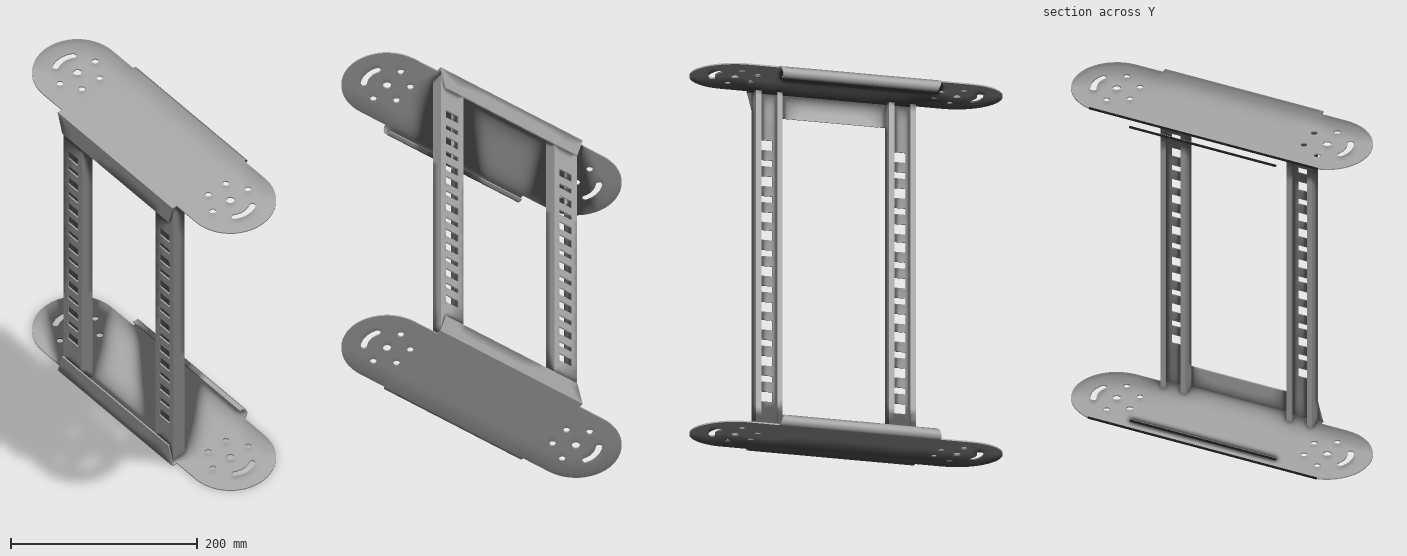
import cadquery as cq
import math

frame_height = 400.0
sheet_thickness = 1.5

end_centre_x = 125.0
plate_half_width = 49.0
fold_projection = 6.0
flange_face_y = -plate_half_width - fold_projection
flange_root_half_length = 94.0
flange_tip_half_length = 87.0
flange_height = 27.0
hook_root_half_length = 91.0
hook_tip_half_length = 87.0
hook_lip_length = 3.0
plate_top_z = frame_height / 2
plate_underside_z = plate_top_z - sheet_thickness

pattern_radius = 25.0
side_hole_angle = 90.0
pattern_half_angle = 30.0
pivot_hole_diameter = 9.0
pattern_hole_diameter = 7.0
arc_slot_width = pattern_hole_diameter

rail_width = 30.0
rail_depth = 15.0
rail_lip_width = 6.0
rail_centre_x = 75.0
rail_front_y = -50.0
rail_rear_y = rail_front_y + rail_depth
rail_end_gap = 2.0
rail_length = 2 * (plate_underside_z - rail_end_gap)
window_pitch = 20.0
window_width = 16.5
tall_window_height = 11.0
short_window_height = 7.0
last_window_index = 7
short_window_indices = (1, 4, 6)


def tapered_panel(root_half_length, tip_half_length, height, front_y, depth):
    """Upright panel below the plate top that narrows downward, reaching back from front_y."""
    tip_z = plate_top_z - height
    return (
        cq.Workplane("XZ", origin=(0, front_y + depth, 0))
        .moveTo(-root_half_length, plate_top_z)
        .lineTo(root_half_length, plate_top_z)
        .lineTo(tip_half_length, tip_z)
        .lineTo(-tip_half_length, tip_z)
        .close()
        .extrude(depth)
    )


def plate_sheet():
    """Flat obround sheet with the straight tongue that carries the flange."""
    overall_length = 2 * (end_centre_x + plate_half_width)
    tongue_length = 2 * flange_root_half_length
    plane = cq.Workplane("XY").workplane(offset=plate_underside_z)
    sheet = plane.slot2D(overall_length, 2 * plate_half_width).extrude(sheet_thickness)
    tongue = (
        plane.center(0, flange_face_y / 2)
        .rect(tongue_length, -flange_face_y)
        .extrude(sheet_thickness)
    )
    return sheet.union(tongue)


def front_flange():
    """Tapered flange hanging from the front edge of the tongue."""
    return tapered_panel(
        flange_root_half_length, flange_tip_half_length, flange_height, flange_face_y, sheet_thickness
    )


def rear_hook():
    """Half-round hook with a short lip, curling down and forward, its ends tapered to the lip."""
    outer_radius = fold_projection
    inner_radius = outer_radius - sheet_thickness
    root_y = plate_half_width
    lip_y = root_y - hook_lip_length
    bend_z = plate_top_z - outer_radius
    curl = (
        cq.Workplane("YZ", origin=(-hook_root_half_length, 0, 0))
        .moveTo(root_y, bend_z + outer_radius)
        .threePointArc((root_y + outer_radius, bend_z), (root_y, bend_z - outer_radius))
        .lineTo(lip_y, bend_z - outer_radius)
        .lineTo(lip_y, bend_z - inner_radius)
        .lineTo(root_y, bend_z - inner_radius)
        .threePointArc((root_y + inner_radius, bend_z), (root_y, bend_z + inner_radius))
        .close()
        .extrude(2 * hook_root_half_length)
    )
    taper = tapered_panel(
        hook_root_half_length,
        hook_tip_half_length,
        2 * outer_radius,
        lip_y,
        hook_lip_length + outer_radius,
    )
    return curl.intersect(taper)


def end_holes(side):
    """Cutters for the holes and curved slot at one end; side is +1 or -1 along X."""

    def pattern_point(radius, angle):
        """Point around the end centre, with the angle in degrees from the outward direction."""
        radians = math.radians(angle)
        x = side * (end_centre_x + radius * math.cos(radians))
        y = radius * math.sin(radians)
        return (x, y)

    plane = cq.Workplane("XY").workplane(offset=plate_underside_z)
    pivot_hole = (
        plane.pushPoints([(side * end_centre_x, 0)])
        .circle(pivot_hole_diameter / 2)
        .extrude(sheet_thickness)
    )

    inner_hole_angle = 180 - pattern_half_angle
    hole_angles = (side_hole_angle, -side_hole_angle, inner_hole_angle, -inner_hole_angle)
    pattern_holes = (
        plane.pushPoints([pattern_point(pattern_radius, angle) for angle in hole_angles])
        .circle(pattern_hole_diameter / 2)
        .extrude(sheet_thickness)
    )

    slot_inner_radius = pattern_radius - arc_slot_width / 2
    slot_outer_radius = pattern_radius + arc_slot_width / 2
    slot_band = (
        plane.moveTo(*pattern_point(slot_inner_radius, -pattern_half_angle))
        .threePointArc(
            pattern_point(slot_inner_radius, 0),
            pattern_point(slot_inner_radius, pattern_half_angle),
        )
        .lineTo(*pattern_point(slot_outer_radius, pattern_half_angle))
        .threePointArc(
            pattern_point(slot_outer_radius, 0),
            pattern_point(slot_outer_radius, -pattern_half_angle),
        )
        .close()
        .extrude(sheet_thickness)
    )
    slot_end_angles = (-pattern_half_angle, pattern_half_angle)
    slot_ends = (
        plane.pushPoints([pattern_point(pattern_radius, angle) for angle in slot_end_angles])
        .circle(arc_slot_width / 2)
        .extrude(sheet_thickness)
    )
    return pivot_hole.union(pattern_holes).union(slot_band).union(slot_ends)


def make_upper_plate():
    plate = plate_sheet().union(front_flange()).union(rear_hook())
    for side in (-1, 1):
        plate = plate.cut(end_holes(side))
    return plate


def rail_block(centre_x, front_y, centre_z, width, depth, height):
    """Box centred on centre_x and centre_z, reaching back from front_y."""
    return (
        cq.Workplane("XY", origin=(centre_x, front_y, centre_z))
        .box(width, depth, height, centered=(True, False, True))
    )


def make_rail(centre_x):
    """Upright lipped channel with tall and short windows at an even pitch."""
    hollow_width = rail_width - 2 * sheet_thickness
    hollow_depth = rail_depth - 2 * sheet_thickness
    opening_width = rail_width - 2 * rail_lip_width
    web_rear_y = rail_front_y + sheet_thickness
    lip_front_y = rail_rear_y - sheet_thickness
    rail = rail_block(centre_x, rail_front_y, 0, rail_width, rail_depth, rail_length)
    rail = rail.cut(rail_block(centre_x, web_rear_y, 0, hollow_width, hollow_depth, rail_length))
    rail = rail.cut(rail_block(centre_x, lip_front_y, 0, opening_width, sheet_thickness, rail_length))
    for index in range(-last_window_index, last_window_index + 1):
        is_short = abs(index) in short_window_indices
        window_height = short_window_height if is_short else tall_window_height
        window_z = index * window_pitch
        window = rail_block(
            centre_x, rail_front_y, window_z, window_width, sheet_thickness, window_height
        )
        rail = rail.cut(window)
    return rail


upper_plate = make_upper_plate()
lower_plate = upper_plate.mirror("XY")
rails = [make_rail(side * rail_centre_x) for side in (-1, 1)]

result = cq.Compound.makeCompound(
    [upper_plate.val(), lower_plate.val(), *[rail.val() for rail in rails]]
)